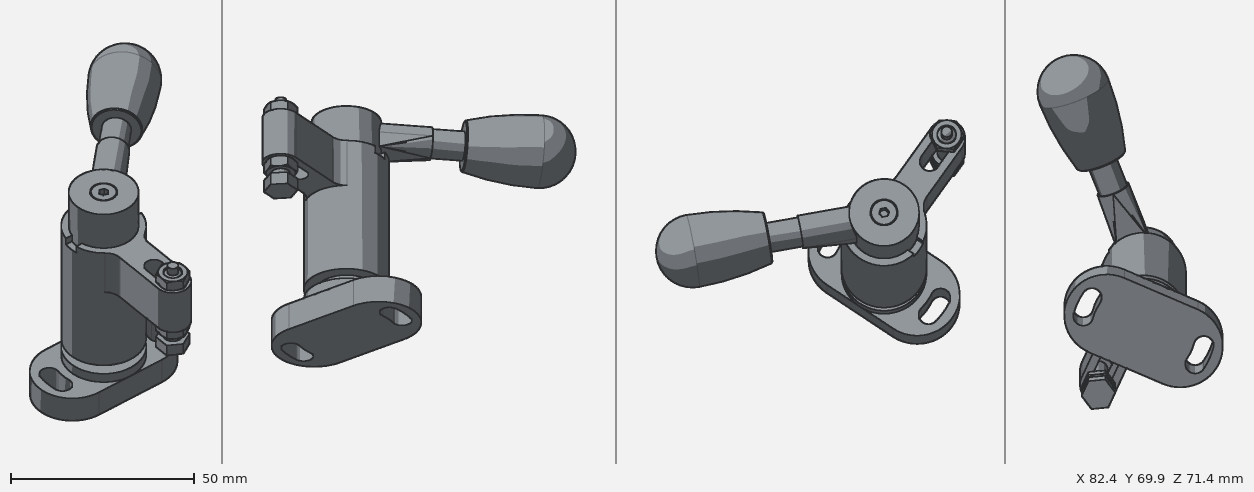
import cadquery as cq
import math

PLATE_TOP = 8.0
COLLAR_TOP = 11.0
SLEEVE_BOTTOM = 13.9
ARM_BOTTOM = 39.9
HEAD_BOTTOM = 51.8
SLEEVE_TOP = 53.9
LEVER_AXIS_Z = 61.35

COLLAR_RADIUS = 23.2 / 2
PLATE_HALF_LENGTH = 22.5
POST_RADIUS = 16.1 / 2
SPINDLE_RADIUS = 3.5
HEX_SOCKET_FLATS = 2.4
HEX_SOCKET_DEPTH = 2.0
HEX_SOCKET_ANGLE = 15.0
BASE_SLOT_RADIUS = 16.9
BASE_SLOT_WIDTH = 5.4
BASE_SLOT_HALF_ANGLE = 9.8

SLEEVE_RADIUS = COLLAR_RADIUS
ARM_END_X = 30.0
ARM_RADIUS = 5.0
ARM_FILLET = 4.95
ARM_SLOT_START_X = 21.85
ARM_SLOT_WIDTH = 5.4
NOTCH_WIDTH = 4.4

HEAD_RADIUS = 19.05 / 2
HEAD_HOLE_RADIUS = SPINDLE_RADIUS + 0.25
LEVER_ANGLE = 135.0
STEM_RADIUS = 4.5
STEM_END = 23.2
ROD_RADIUS = 4.0
GRIP_START = 32.1
GRIP_START_RADIUS = 7.1
GRIP_EDGE_CHAMFER = 0.3
GRIP_RADIUS = 10.0
GRIP_BALL_CENTRE = 52.95

HEX_FLATS = 8.0
BOLT_BOTTOM = 31.1
BOLT_HEAD_HEIGHT = 3.55
SHANK_RADIUS = 2.55
SHANK_CONE_HEIGHT = 0.7
BOLT_TIP_RADIUS = 1.5
BOLT_TIP_TOP = 59.9
BOLT_TIP_CROWN = 0.3
NUT_HEIGHT = 3.2
NUT_CHAMFER_ANGLE = 30.0

HEAD_TOP = LEVER_AXIS_Z + STEM_RADIUS
HEX_CORNER_RATIO = 2 / math.sqrt(3)


def disc(radius, bottom, top):
    """Upright cylinder about the main axis."""
    return cq.Workplane("XY").workplane(offset=bottom).circle(radius).extrude(top - bottom)


def hexagon(flats, bottom, height):
    """Upright hexagonal prism with two corners on the X axis."""
    return (
        cq.Workplane("XY").workplane(offset=bottom)
        .polygon(6, flats * HEX_CORNER_RATIO).extrude(height)
    )


def polar(radius, angle):
    """Point at the given radius and angle in degrees."""
    return radius * math.cos(math.radians(angle)), radius * math.sin(math.radians(angle))


def tangent_arc_radius(run, rise):
    """Radius of an arc that rises by the given amount over a run and ends level."""
    return (run**2 + rise**2) / (2 * rise)


def base_slot(direction):
    """Curved slot through the plate, centred on the given angle."""
    inner = BASE_SLOT_RADIUS - BASE_SLOT_WIDTH / 2
    outer = BASE_SLOT_RADIUS + BASE_SLOT_WIDTH / 2
    start = direction - BASE_SLOT_HALF_ANGLE
    end = direction + BASE_SLOT_HALF_ANGLE
    return (
        cq.Workplane("XY")
        .moveTo(*polar(outer, start))
        .threePointArc(polar(outer, direction), polar(outer, end))
        .tangentArcPoint(polar(inner, end), relative=False)
        .threePointArc(polar(inner, direction), polar(inner, start))
        .tangentArcPoint(polar(outer, start), relative=False)
        .close().extrude(PLATE_TOP)
    )


def make_base():
    base = cq.Workplane("XY").slot2D(2 * PLATE_HALF_LENGTH, 2 * COLLAR_RADIUS, 90).extrude(PLATE_TOP)
    for direction in (90, 270):
        base = base.cut(base_slot(direction))
    base = base.union(disc(COLLAR_RADIUS, PLATE_TOP, COLLAR_TOP))
    base = base.union(disc(POST_RADIUS, COLLAR_TOP, HEAD_BOTTOM))
    base = base.union(disc(SPINDLE_RADIUS, HEAD_BOTTOM, HEAD_TOP))
    socket = hexagon(HEX_SOCKET_FLATS, HEAD_TOP - HEX_SOCKET_DEPTH, HEX_SOCKET_DEPTH)
    return base.cut(socket.rotate((0, 0, 0), (0, 0, 1), HEX_SOCKET_ANGLE))


def arm_blank():
    """Arm with a round end, blended into the sleeve by a fillet on each side."""
    fillet_y = ARM_RADIUS + ARM_FILLET
    centre_distance = SLEEVE_RADIUS + ARM_FILLET
    fillet_x = math.sqrt(centre_distance**2 - fillet_y**2)
    touch_x = fillet_x * SLEEVE_RADIUS / centre_distance
    touch_y = fillet_y * SLEEVE_RADIUS / centre_distance
    return (
        cq.Workplane("XY").workplane(offset=ARM_BOTTOM)
        .moveTo(0, -touch_y)
        .lineTo(touch_x, -touch_y)
        .radiusArc((fillet_x, -ARM_RADIUS), ARM_FILLET)
        .lineTo(ARM_END_X, -ARM_RADIUS)
        .threePointArc((ARM_END_X + ARM_RADIUS, 0), (ARM_END_X, ARM_RADIUS))
        .lineTo(fillet_x, ARM_RADIUS)
        .radiusArc((touch_x, touch_y), ARM_FILLET)
        .lineTo(0, touch_y)
        .close().extrude(SLEEVE_TOP - ARM_BOTTOM)
    )


def arm_slot():
    """Slot for the bolt, ending round the bolt axis."""
    spacing = ARM_END_X - ARM_SLOT_START_X
    return (
        cq.Workplane("XY").workplane(offset=ARM_BOTTOM)
        .center(ARM_SLOT_START_X + spacing / 2, 0)
        .slot2D(spacing + ARM_SLOT_WIDTH, ARM_SLOT_WIDTH)
        .extrude(SLEEVE_TOP - ARM_BOTTOM)
    )


def make_sleeve():
    sleeve = disc(SLEEVE_RADIUS, SLEEVE_BOTTOM, SLEEVE_TOP)
    sleeve = sleeve.union(arm_blank()).cut(arm_slot())
    sleeve = sleeve.cut(disc(POST_RADIUS, SLEEVE_BOTTOM, HEAD_BOTTOM))
    sleeve = sleeve.cut(disc(HEAD_RADIUS, HEAD_BOTTOM, SLEEVE_TOP))
    notch = (
        cq.Workplane("XY").workplane(offset=HEAD_BOTTOM)
        .rect(NOTCH_WIDTH, 2 * SLEEVE_RADIUS).extrude(SLEEVE_TOP - HEAD_BOTTOM)
    )
    return sleeve.cut(notch)


def corner_relief(side):
    """Cone that takes a square lower corner of the stem to a round at its outer end."""
    diagonal = STEM_RADIUS * math.sqrt(0.5)
    end_section = (
        cq.Workplane("YZ", origin=(STEM_END, 0, 0))
        .moveTo(side * STEM_RADIUS, 0)
        .lineTo(side * STEM_RADIUS, -STEM_RADIUS)
        .lineTo(0, -STEM_RADIUS)
        .threePointArc((side * diagonal, -diagonal), (side * STEM_RADIUS, 0))
        .wire().val()
    )
    root_x = math.sqrt(HEAD_RADIUS**2 - STEM_RADIUS**2)
    apex = cq.Vertex.makeVertex(root_x, side * STEM_RADIUS, -STEM_RADIUS)
    return cq.occ_impl.shapes.loft(end_section, apex, cap=True, ruled=True)


def lever_stem():
    """Stem with a round top; its square underside turns round toward the end."""
    stem = cq.Workplane("YZ").circle(STEM_RADIUS).extrude(STEM_END)
    lower_half = (
        cq.Workplane("YZ").center(0, -STEM_RADIUS / 2)
        .rect(2 * STEM_RADIUS, STEM_RADIUS).extrude(STEM_END)
    )
    for side in (-1, 1):
        lower_half = lower_half.cut(cq.Workplane(corner_relief(side)))
    return stem.union(lower_half)


def lever_grip():
    """Rod and egg-shaped grip turned about the lever axis."""
    rod = cq.Workplane("YZ").circle(ROD_RADIUS).extrude(GRIP_START)
    flank_start_x = GRIP_START + GRIP_EDGE_CHAMFER
    flank_length = GRIP_BALL_CENTRE - flank_start_x
    flank_radius = tangent_arc_radius(flank_length, GRIP_RADIUS - GRIP_START_RADIUS)
    ball_diagonal = GRIP_RADIUS * math.sqrt(0.5)
    grip = (
        cq.Workplane("XY")
        .moveTo(GRIP_START, 0)
        .lineTo(GRIP_START, GRIP_START_RADIUS - GRIP_EDGE_CHAMFER)
        .lineTo(flank_start_x, GRIP_START_RADIUS)
        .radiusArc((GRIP_BALL_CENTRE, GRIP_RADIUS), flank_radius)
        .threePointArc(
            (GRIP_BALL_CENTRE + ball_diagonal, ball_diagonal),
            (GRIP_BALL_CENTRE + GRIP_RADIUS, 0),
        )
        .close().revolve(360, (0, 0, 0), (1, 0, 0))
    )
    return rod.union(grip)


def make_lever():
    lever = lever_stem().union(lever_grip())
    lever = lever.rotate((0, 0, 0), (0, 0, 1), LEVER_ANGLE).translate((0, 0, LEVER_AXIS_Z))
    lever = lever.union(disc(HEAD_RADIUS, HEAD_BOTTOM, HEAD_TOP))
    return lever.cut(disc(HEAD_HOLE_RADIUS, HEAD_BOTTOM, HEAD_TOP))


def make_bolt():
    shank_top = SLEEVE_TOP + NUT_HEIGHT
    crown_radius = tangent_arc_radius(BOLT_TIP_RADIUS, BOLT_TIP_CROWN)
    pin = (
        cq.Workplane("XZ")
        .moveTo(0, BOLT_BOTTOM)
        .lineTo(SHANK_RADIUS, BOLT_BOTTOM)
        .lineTo(SHANK_RADIUS, shank_top - SHANK_CONE_HEIGHT)
        .lineTo(BOLT_TIP_RADIUS, shank_top)
        .lineTo(BOLT_TIP_RADIUS, BOLT_TIP_TOP - BOLT_TIP_CROWN)
        .radiusArc((0, BOLT_TIP_TOP), -crown_radius)
        .close().revolve(360, (0, 0, 0), (0, 1, 0))
    )
    bolt = pin.union(hexagon(HEX_FLATS, BOLT_BOTTOM, BOLT_HEAD_HEIGHT))
    return bolt.translate((ARM_END_X, 0, 0))


def make_nut(bottom):
    """Hexagonal nut with its corners chamfered at both ends."""
    corner_radius = HEX_FLATS / 2 * HEX_CORNER_RATIO
    face_radius = HEX_FLATS / 2
    drop = (corner_radius - face_radius) * math.tan(math.radians(NUT_CHAMFER_ANGLE))
    envelope = (
        cq.Workplane("XZ")
        .moveTo(0, 0)
        .lineTo(face_radius, 0)
        .lineTo(corner_radius, drop)
        .lineTo(corner_radius, NUT_HEIGHT - drop)
        .lineTo(face_radius, NUT_HEIGHT)
        .lineTo(0, NUT_HEIGHT)
        .close().revolve(360, (0, 0, 0), (0, 1, 0))
    )
    nut = hexagon(HEX_FLATS, 0, NUT_HEIGHT).intersect(envelope)
    nut = nut.cut(disc(SHANK_RADIUS, 0, NUT_HEIGHT))
    return nut.translate((ARM_END_X, 0, bottom))


base = make_base()
sleeve = make_sleeve()
lever = make_lever()
bolt = make_bolt()
nuts = [make_nut(bottom) for bottom in (ARM_BOTTOM - NUT_HEIGHT, SLEEVE_TOP)]

result = cq.Compound.makeCompound(
    [body.solids().val() for body in (base, sleeve, lever, bolt, *nuts)]
)